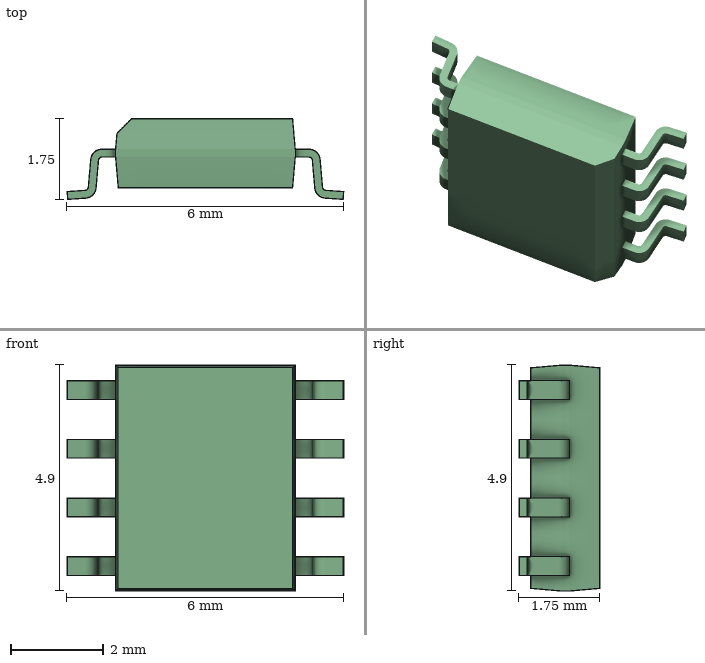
import cadquery as cq
import math


overall_width = 6.0
overall_height = 1.75

housing_width = 3.9
housing_length = 4.9
housing_standoff = 0.25
upper_depth = 0.66
draft_angle = 5.0
pin_one_chamfer = 0.32

leads_per_side = 4
lead_pitch = 1.27
lead_width = 0.41
lead_thickness = 0.175
leg_angle = 5.0
foot_angle = 4.0
inner_bend_radius = 0.07
knee_centre_x = 2.245

outer_bend_radius = inner_bend_radius + lead_thickness
lead_top_y = overall_height - upper_depth
lead_bottom_y = lead_top_y - lead_thickness
lower_depth = lead_bottom_y - housing_standoff


def xz_section(y):
    """Plane at height y whose normal points to +Y."""
    return cq.Workplane(cq.Plane(origin=(0, y, 0), xDir=(1, 0, 0), normal=(0, 1, 0)))


def make_housing():
    """Straight band as thick as the leads, with a drafted half above and below it."""
    band = xz_section(lead_bottom_y).rect(housing_width, housing_length).extrude(lead_thickness)
    upper = (
        xz_section(lead_top_y)
        .rect(housing_width, housing_length)
        .extrude(upper_depth, taper=draft_angle)
    )
    lower = (
        xz_section(lead_bottom_y)
        .rect(housing_width, housing_length)
        .extrude(-lower_depth, taper=draft_angle)
    )
    return band.union(upper).union(lower).cut(make_chamfer_wedge())


def make_chamfer_wedge():
    """45 degree prism that bevels the top edge along the pin-one side."""
    bevel_bottom_y = overall_height - pin_one_chamfer
    draft = math.tan(math.radians(draft_angle))
    bevel_outer_x = -housing_width / 2 + (bevel_bottom_y - lead_top_y) * draft
    return (
        cq.Workplane("XY")
        .moveTo(bevel_outer_x, bevel_bottom_y)
        .lineTo(bevel_outer_x + pin_one_chamfer, overall_height)
        .lineTo(bevel_outer_x - pin_one_chamfer, overall_height)
        .close()
        .extrude(housing_length / 2, both=True)
    )


def step(start, direction, distance):
    """Point at a distance from start along a unit direction."""
    return (start[0] + distance * direction[0], start[1] + distance * direction[1])


def make_left_lead():
    """Gull-wing strip on the -X side, centred on Z = 0, butting against the housing band."""
    leg_tilt = math.radians(leg_angle)
    foot_tilt = math.radians(foot_angle)
    leg_direction = (-math.sin(leg_tilt), -math.cos(leg_tilt))
    leg_outward = (-math.cos(leg_tilt), math.sin(leg_tilt))
    foot_direction = (-math.cos(foot_tilt), -math.sin(foot_tilt))
    foot_downward = (math.sin(foot_tilt), -math.cos(foot_tilt))

    bend_radii = outer_bend_radius + inner_bend_radius
    knee_centre = (-knee_centre_x, lead_top_y - outer_bend_radius)
    bend_end = step(knee_centre, leg_outward, bend_radii)
    reach = overall_width / 2 + step(bend_end, foot_downward, inner_bend_radius)[0]
    drop = step(bend_end, foot_downward, outer_bend_radius)[1]
    bend_cosine = math.cos(leg_tilt + foot_tilt)
    leg_length = (drop * math.cos(foot_tilt) - reach * math.sin(foot_tilt)) / bend_cosine
    foot_length = (reach * math.cos(leg_tilt) - drop * math.sin(leg_tilt)) / bend_cosine

    ankle_centre = step(bend_end, leg_direction, leg_length)
    leg_outer_top = step(knee_centre, leg_outward, outer_bend_radius)
    leg_inner_top = step(knee_centre, leg_outward, inner_bend_radius)
    foot_upper_start = step(ankle_centre, foot_downward, inner_bend_radius)
    foot_lower_start = step(ankle_centre, foot_downward, outer_bend_radius)

    return (
        cq.Workplane("XY")
        .moveTo(-housing_width / 2, lead_top_y)
        .lineTo(-knee_centre_x, lead_top_y)
        .tangentArcPoint(leg_outer_top, relative=False)
        .lineTo(*step(leg_outer_top, leg_direction, leg_length))
        .tangentArcPoint(foot_upper_start, relative=False)
        .lineTo(*step(foot_upper_start, foot_direction, foot_length))
        .lineTo(*step(foot_lower_start, foot_direction, foot_length))
        .lineTo(*foot_lower_start)
        .tangentArcPoint(step(leg_inner_top, leg_direction, leg_length), relative=False)
        .lineTo(*leg_inner_top)
        .tangentArcPoint((-knee_centre_x, lead_bottom_y), relative=False)
        .lineTo(-housing_width / 2, lead_bottom_y)
        .close()
        .extrude(lead_width / 2, both=True)
    )


housing = make_housing()

left_lead = make_left_lead()
right_lead = left_lead.mirror("YZ")
leads = []
for index in range(leads_per_side):
    lead_z = (index - (leads_per_side - 1) / 2) * lead_pitch
    for lead in (left_lead, right_lead):
        leads.append(lead.translate((0, 0, lead_z)).val())

result = cq.Compound.makeCompound([housing.val(), *leads])